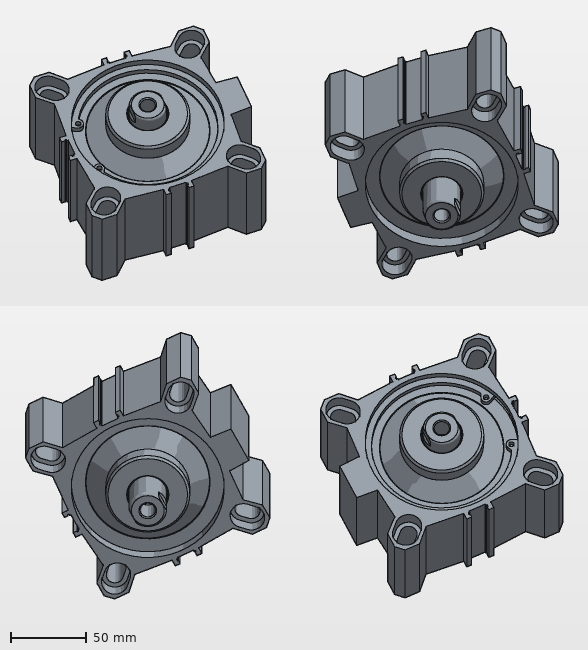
import cadquery as cq
import math

overall_width = 124.0
overall_depth = 131.0
half_span = overall_width / 2
lug_chamfer = 5.2
lug_face_start = 46.1
lug_root_x = 36.7
lug_root_y = 52.3
wall_distance = 54.4
wall_flat_half = 10.0
housing_height = 70.7

slot_mid = 49.1
slot_shift = 2.0
slot_width = 11.4
slot_counterbore_width = 17.5
slot_counterbore_depth = 11.3

port_outer_y = overall_depth - half_span
port_half_width_outer = 13.0
port_half_width_root = 13.9

rib_outer = wall_flat_half
rib_thickness = 3.7
rib_tip = 59.1
rib_notch_start = 55.3
rib_notch_width = 1.0
rib_notch_depth = 0.7
rib_foot_step = 0.4
rail_angles = (-90, 0, 90)

bore_diameter = 100.0
seat_diameter = 101.7
groove_diameter = 106.2
ring_top_depth = 5.1
ring_thickness = 4.0
cover_face_depth = ring_top_depth + ring_thickness
cover_bottom_depth = 23.6

boss_diameter = 56.0
boss_height = 10.6
boss_chamfer = 1.6
cone_outer_diameter = 82.0
cone_edge_bevel = 0.4
cone_top_depth = 1.7
seal_bore_diameter = 25.5
seal_bore_depth = 3.9
rod_recess_diameter = 26.9
rod_recess_depth = 2.0
rod_recess_mouth_diameter = 28.0
rod_recess_chamfer = (rod_recess_mouth_diameter - rod_recess_diameter) / 2

rod_diameter = 25.0
rod_projection_top = 10.0
rod_projection_bottom = 25.0
rod_end_face_radius = 10.9
rod_end_rounding_height = 2.2
rod_end_rounding_radius = 2.4
flat_width = 22.0
flat_length = 7.0
rod_hole_diameter = 10.1
rod_hole_mouth_diameter = 11.8
rod_hole_depth = 19.6
rod_hole_tip_angle = 118

ring_inner_radius = 46.6
ear_x = 19.4
ear_y = -42.0
ear_diameter = 7.0
ear_radius = ear_diameter / 2
ear_hole_diameter = 3.5
ear_fillet = 2.6

rod_top_z = housing_height + boss_height + rod_projection_top
rod_bottom_z = -boss_height - rod_projection_bottom
ring_bottom_z = housing_height - cover_face_depth


def flip_end(shape):
    """Mirror a shape at the top end of the housing onto the bottom end."""
    return shape.mirror("XY", (0, 0, housing_height / 2))


def disc(diameter, bottom_z, height):
    return cq.Workplane("XY").workplane(offset=bottom_z).circle(diameter / 2).extrude(height)



def housing_outline():
    """Body outline: four identical quarters, each ending on the flat of the next wall."""
    quarter = [
        (wall_distance, wall_flat_half),
        (lug_root_y, lug_root_x),
        (half_span, lug_face_start),
        (half_span, half_span - lug_chamfer),
        (half_span - lug_chamfer, half_span),
        (lug_face_start, half_span),
        (lug_root_x, lug_root_y),
        (wall_flat_half, wall_distance),
    ]
    points = []
    for turn in range(4):
        c = round(math.cos(turn * math.pi / 2))
        s = round(math.sin(turn * math.pi / 2))
        points += [(x * c - y * s, x * s + y * c) for x, y in quarter]
    return cq.Workplane("XY").polyline(points).close().extrude(housing_height)


def port_block():
    root_slope = (wall_distance - lug_root_y) / (lug_root_x - wall_flat_half)
    root_y = wall_distance - root_slope * (port_half_width_root - wall_flat_half)
    outline = [
        (-port_half_width_root, root_y),
        (-port_half_width_outer, port_outer_y),
        (port_half_width_outer, port_outer_y),
        (port_half_width_root, root_y),
    ]
    return cq.Workplane("XY").polyline(outline).close().extrude(housing_height)


def sensor_rail():
    """Pair of ribs on the -Y wall, with a small notch along the facing sides."""
    inner = rib_outer - rib_thickness
    notched = inner + rib_notch_depth
    foot = inner - rib_foot_step
    notch_end = rib_notch_start + rib_notch_width
    outline = [
        (rib_outer, -wall_distance),
        (rib_outer, -rib_tip),
        (inner, -rib_tip),
        (inner, -notch_end),
        (notched, -notch_end),
        (notched, -rib_notch_start),
        (foot, -rib_notch_start),
        (foot, -wall_distance),
    ]
    rib = cq.Workplane("XY").polyline(outline).close().extrude(housing_height)
    return rib.union(rib.mirror("YZ"))


def corner_slots(width, bottom_z, height):
    """Four slots, each stretched along its own diagonal."""
    length = 2 * math.hypot(slot_shift, slot_shift) + width
    slots = cq.Workplane("XY")
    for side_x in (-1, 1):
        for side_y in (-1, 1):
            slots = slots.add(
                cq.Workplane("XY")
                .workplane(offset=bottom_z)
                .center(side_x * slot_mid, side_y * slot_mid)
                .slot2D(length, width, 45 * side_x * side_y)
                .extrude(height)
            )
    return slots.combine()


def make_housing():
    body = housing_outline().union(port_block())
    for angle in rail_angles:
        body = body.union(sensor_rail().rotate((0, 0, 0), (0, 0, 1), angle))
    body = body.cut(corner_slots(slot_width, 0, housing_height))
    counterbores = corner_slots(
        slot_counterbore_width, housing_height - slot_counterbore_depth, slot_counterbore_depth
    )
    seat = disc(seat_diameter, housing_height - cover_bottom_depth, cover_bottom_depth)
    for end_cut in (counterbores, seat):
        body = body.cut(end_cut).cut(flip_end(end_cut))
    body = body.cut(disc(bore_diameter, 0, housing_height))
    return body.cut(disc(groove_diameter, ring_bottom_z, ring_thickness))



def make_upper_cover():
    """Revolved cover: bored for the rod, with a boss, a sloping shoulder and a flat rim."""
    boss_top = housing_height + boss_height
    cone_top = housing_height - cone_top_depth
    bottom = housing_height - cover_bottom_depth
    profile = [
        (rod_diameter / 2, bottom),
        (rod_diameter / 2, boss_top - seal_bore_depth),
        (seal_bore_diameter / 2, boss_top - seal_bore_depth),
        (seal_bore_diameter / 2, boss_top - rod_recess_depth),
        (rod_recess_diameter / 2, boss_top - rod_recess_depth),
        (rod_recess_diameter / 2, boss_top - rod_recess_chamfer),
        (rod_recess_mouth_diameter / 2, boss_top),
        (boss_diameter / 2 - boss_chamfer, boss_top),
        (boss_diameter / 2, boss_top - boss_chamfer),
        (boss_diameter / 2, cone_top + cone_edge_bevel),
        (boss_diameter / 2 + cone_edge_bevel, cone_top),
        (cone_outer_diameter / 2, ring_bottom_z - cone_edge_bevel),
        (cone_outer_diameter / 2 + cone_edge_bevel, ring_bottom_z),
        (seat_diameter / 2, ring_bottom_z),
        (seat_diameter / 2, bottom),
    ]
    return cq.Workplane("XZ").polyline(profile).close().revolve(360, (0, 0), (0, 1))



def ring_ear():
    """Ear at +X: a round eye with a straight end face running out to the ring's rim."""
    distance = math.hypot(ear_x, ear_y)
    rim = groove_diameter / 2
    eye = cq.Workplane("XY").center(distance, 0).circle(ear_radius).extrude(ring_thickness)
    end = (
        cq.Workplane("XY")
        .moveTo(distance, 0)
        .lineTo(distance, -ear_radius)
        .lineTo(rim, -ear_radius)
        .lineTo(rim, 0)
        .close()
        .extrude(ring_thickness)
    )
    ear = eye.union(end).intersect(disc(groove_diameter, 0, ring_thickness))
    return ear.rotate((0, 0, 0), (0, 0, 1), math.degrees(math.atan2(ear_y, ear_x)))


def half_ring():
    """The +X half, reaching from the far side of the bore to the radial line through the ear."""
    rim = groove_diameter / 2
    reach = 2 * rim
    sector = (
        cq.Workplane("XY")
        .polyline([(0, 0), (reach * ear_x / -ear_y, -reach), (reach, -reach), (reach, reach), (0, reach)])
        .close()
        .extrude(ring_thickness)
    )
    band = cq.Workplane("XY").circle(rim).circle(ring_inner_radius).extrude(ring_thickness)
    half = band.intersect(sector).union(ring_ear())
    corner_x = ear_x + ear_radius
    corner = cq.selectors.BoxSelector(
        (corner_x - ear_radius / 2, ear_y - ear_radius / 2, 0),
        (corner_x + ear_radius / 2, ear_y + ear_radius, ring_thickness),
    )
    half = half.edges("|Z").edges(corner).fillet(ear_fillet)
    hole = cq.Workplane("XY").center(ear_x, ear_y).circle(ear_hole_diameter / 2).extrude(ring_thickness)
    return half.cut(hole)


def make_retaining_ring():
    half = half_ring()
    return half.union(half.mirror("YZ")).translate((0, 0, ring_bottom_z))



def rod_blank():
    radius = rod_diameter / 2
    return (
        cq.Workplane("XZ")
        .moveTo(0, rod_bottom_z)
        .lineTo(rod_end_face_radius, rod_bottom_z)
        .radiusArc((radius, rod_bottom_z + rod_end_rounding_height), -rod_end_rounding_radius)
        .lineTo(radius, rod_top_z - rod_end_rounding_height)
        .radiusArc((rod_end_face_radius, rod_top_z), -rod_end_rounding_radius)
        .lineTo(0, rod_top_z)
        .close()
        .revolve(360, (0, 0), (0, 1))
    )


def rod_end_cuts():
    """Wrench flats with 45 degree run-outs and a drilled hole, for an end face at Z = 0."""
    radius = rod_diameter / 2
    flat = flat_width / 2
    flat_cut = (
        cq.Workplane("YZ")
        .polyline([
            (flat, 0),
            (flat, -flat_length),
            (radius, -flat_length - (radius - flat)),
            (radius, 0),
        ])
        .close()
        .extrude(radius, both=True)
    )
    hole_radius = rod_hole_diameter / 2
    mouth_radius = rod_hole_mouth_diameter / 2
    tip = hole_radius / math.tan(math.radians(rod_hole_tip_angle / 2))
    hole = (
        cq.Workplane("XZ")
        .polyline([
            (0, 0),
            (mouth_radius, 0),
            (hole_radius, hole_radius - mouth_radius),
            (hole_radius, -rod_hole_depth),
            (0, -rod_hole_depth - tip),
        ])
        .close()
        .revolve(360, (0, 0), (0, 1))
    )
    return flat_cut, flat_cut.mirror("XZ"), hole


def make_rod():
    rod = rod_blank()
    for end_cut in rod_end_cuts():
        rod = rod.cut(end_cut.translate((0, 0, rod_top_z)))
        rod = rod.cut(end_cut.mirror("XY").translate((0, 0, rod_bottom_z)))
    return rod



housing = make_housing()
upper_cover = make_upper_cover()
lower_cover = flip_end(upper_cover)
retaining_ring = make_retaining_ring()
rod = make_rod()

result = cq.Compound.makeCompound([
    housing.solids().val(),
    upper_cover.val(),
    lower_cover.val(),
    retaining_ring.solids().val(),
    rod.solids().val(),
])